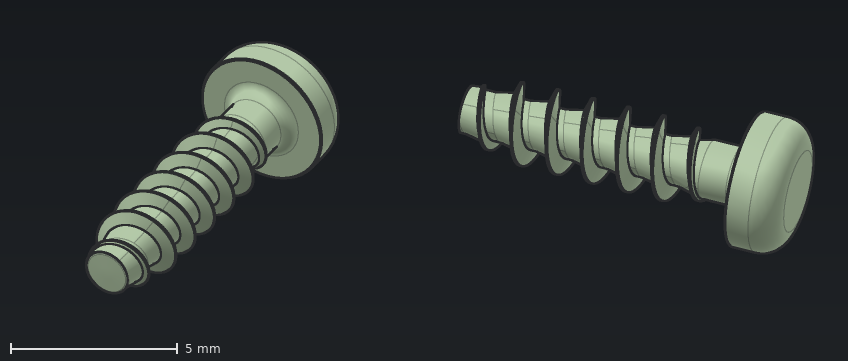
import cadquery as cq
import math

total_length = 10.6
head_radius = 2.1
head_height = 1.6
dome_radius = 0.84
rim_chamfer = 0.04

shank_radius = 0.91
shank_end = 1.26
neck_fillet = 0.38
core_radius = 0.72
core_start = shank_end + 0.74
tip_height = 0.02
tip_depth = total_length - head_height
tip_radius = 0.66
tip_bevel = 0.02
core_end = tip_depth - tip_height - tip_bevel

pitch = 1.12
crest_radius = 1.25
crest_half_width = 0.03
root_half_width = 0.18
root_radius = 0.84
taper_end = 0.9
buried_depth = 0.03
inner_radius = 0.58
first_crest_depth = 1.16
first_crest_radius = 0.95
last_crest_radius = 0.74
last_crest_depth = 8.9
start_angle = -math.pi / 2
run_in_turns = 1.0
run_out_turns = 1.4
pieces_per_turn = 2
samples_per_piece = 12


def make_body():
    """Head, neck, shank and core, revolved about Y."""
    diagonal = math.sqrt(0.5)
    dome_center_radius = head_radius - dome_radius
    dome_center_y = head_height - dome_radius
    dome_middle = (
        dome_center_radius + dome_radius * diagonal,
        dome_center_y + dome_radius * diagonal,
    )
    neck_middle = (
        shank_radius + neck_fillet * (1 - diagonal),
        -neck_fillet * (1 - diagonal),
    )
    profile = (
        cq.Workplane("XY")
        .moveTo(0, head_height)
        .lineTo(dome_center_radius, head_height)
        .threePointArc(dome_middle, (head_radius, dome_center_y))
        .lineTo(head_radius, rim_chamfer)
        .lineTo(head_radius - rim_chamfer, 0)
        .lineTo(shank_radius + neck_fillet, 0)
        .threePointArc(neck_middle, (shank_radius, -neck_fillet))
        .lineTo(shank_radius, -shank_end)
        .lineTo(core_radius, -core_start)
        .lineTo(core_radius, -core_end)
        .lineTo(tip_radius, -core_end - tip_bevel)
        .lineTo(0, -tip_depth)
        .close()
    )
    return profile.revolve(360, (0, 0, 0), (0, 1, 0))


def crest_radius_at(turn, turn_count):
    """Crest rises over the run-in and falls over the run-out."""
    rising = first_crest_radius + (crest_radius - first_crest_radius) * turn / run_in_turns
    turns_left = turn_count - turn
    falling = last_crest_radius + (crest_radius - last_crest_radius) * turns_left / run_out_turns
    return min(crest_radius, rising, falling)


def thread_section(turn, turn_count):
    """Corners of the thread section as (axial offset from crest, radius)."""
    crest = crest_radius_at(turn, turn_count)
    fullness = (crest - core_radius) / (crest_radius - core_radius)
    half_width = crest_half_width + (root_half_width - crest_half_width) * fullness
    root = core_radius + (root_radius - core_radius) * min(1, 2 * fullness)
    return [
        (-half_width, inner_radius),
        (-half_width, core_radius - buried_depth),
        (-crest_half_width, crest),
        (crest_half_width, crest),
        (half_width, min(root, (crest + core_radius) / 2)),
        (taper_end, core_radius - buried_depth),
        (taper_end, inner_radius),
    ]


def make_thread_piece(first_turn, last_turn, turn_count):
    """Part of the thread, bounded by ruled faces between the helices of the section corners."""
    corner_paths = [[] for _ in thread_section(0, turn_count)]
    for sample in range(samples_per_piece + 1):
        turn = first_turn + (last_turn - first_turn) * sample / samples_per_piece
        angle = start_angle + 2 * math.pi * turn
        crest_depth = first_crest_depth + pitch * turn
        for path, (offset, radius) in zip(corner_paths, thread_section(turn, turn_count)):
            x = radius * math.cos(angle)
            z = radius * math.sin(angle)
            path.append(cq.Vector(x, -crest_depth - offset, z))

    fractions = [sample / samples_per_piece for sample in range(samples_per_piece + 1)]
    edges = [cq.Edge.makeSpline(path, parameters=fractions) for path in corner_paths]
    next_edges = edges[1:] + edges[:1]
    faces = [cq.Face.makeRuledSurface(a, b) for a, b in zip(edges, next_edges)]
    for end in (0, -1):
        corners = [path[end] for path in corner_paths]
        faces.append(cq.Face.makeFromWires(cq.Wire.makePolygon(corners, close=True)))
    return cq.Solid.makeSolid(cq.Shell.makeShell(faces)).fix()


def make_thread():
    """All pieces of the thread, from the shank to the tip."""
    turn_count = (last_crest_depth - first_crest_depth) / pitch
    piece_count = math.ceil(turn_count * pieces_per_turn)
    limits = [turn_count * piece / piece_count for piece in range(piece_count + 1)]
    return [make_thread_piece(a, b, turn_count) for a, b in zip(limits, limits[1:])]


def make_tip_trim():
    """Disc beyond the end of the core, which leaves the thread flush with the bevel."""
    trim = cq.Workplane("XZ", origin=(0, -core_end, 0))
    trim = trim.circle(head_radius).extrude(pitch)
    return trim.val()


tip_trim = make_tip_trim()
thread_pieces = [piece.cut(tip_trim) for piece in make_thread()]
screw = make_body().val().fuse(*thread_pieces)
result = cq.Workplane(obj=screw.Solids()[0])